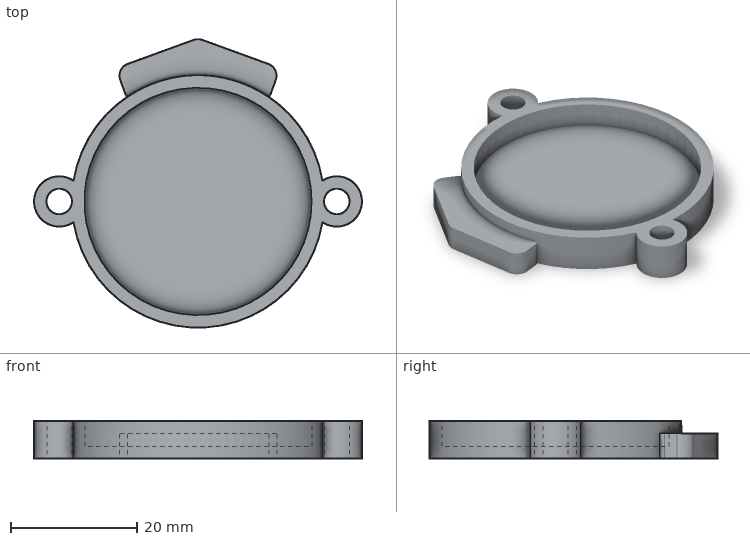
import cadquery as cq

tray_diameter = 40.0
cavity_diameter = 36.0
height = 6.0
cavity_depth = 4.0

overall_length = 52.0
ear_diameter = 8.0
ear_hole_diameter = 4.0
ear_offset = (overall_length - ear_diameter) / 2

bracket_height = 4.0
bar_corner_diameter = 4.0
bar_corner_radius = bar_corner_diameter / 2
bar_tilt = 20.0
bar_corner_span = 11.1
bar_corner_depth = 2.15
overall_width = 45.75
peak_y = overall_width - tray_diameter / 2 - bar_corner_radius


def make_ears(diameter):
    """Full-height cylinders at both ear positions."""
    ears = cq.Workplane("XY").pushPoints([(-ear_offset, 0), (ear_offset, 0)])
    return ears.circle(diameter / 2).extrude(height)


def make_bar(side):
    """Rounded bar slanting from the peak toward the tray; side is -1 for left, 1 for right."""
    length = bar_corner_span + bar_corner_diameter
    width = bar_corner_depth + bar_corner_diameter
    return (
        cq.Workplane("XY")
        .center(side * bar_corner_span / 2, -bar_corner_depth / 2)
        .rect(length, width)
        .extrude(bracket_height)
        .edges("|Z")
        .fillet(bar_corner_radius)
        .rotate((0, 0, 0), (0, 0, 1), -side * bar_tilt)
        .translate((0, peak_y, 0))
    )


body = cq.Workplane("XY").circle(tray_diameter / 2).extrude(height)
body = body.union(make_ears(ear_diameter))
for side in (-1, 1):
    body = body.union(make_bar(side))

cavity = (
    cq.Workplane("XY")
    .workplane(offset=height - cavity_depth)
    .circle(cavity_diameter / 2)
    .extrude(cavity_depth)
)
result = body.cut(cavity).cut(make_ears(ear_hole_diameter))